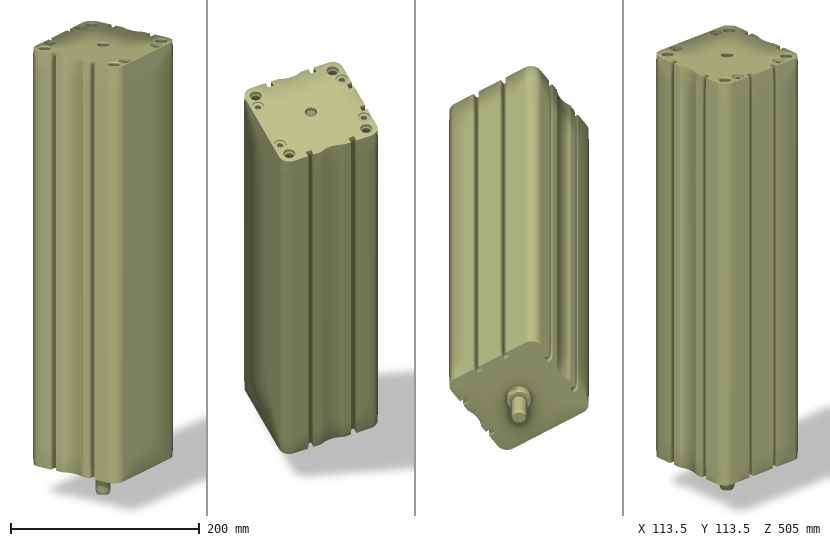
import cadquery as cq

SIDE = 113.5
HALF_SIDE = SIDE / 2
CORNER_RADIUS = 12.0
TOTAL_LENGTH = 505.0
ROD_PROTRUSION = 37.5
HOUSING_LENGTH = TOTAL_LENGTH - ROD_PROTRUSION
CAP_LENGTH = 20.0
CAP_TAPER = 1.2
BARREL_LENGTH = HOUSING_LENGTH - 2 * CAP_LENGTH

SLOT_MOUTH_WIDTH = 6.0
SLOT_INNER_WIDTH = 6.5
SLOT_LIP_DEPTH = 3.0
Y_SIDE_SLOT_DEPTH = 7.0
X_SIDE_SLOT_DEPTH = 6.5
Y_SIDE_SLOT_OFFSET = 24.5
X_SIDE_SLOT_OFFSET = 17.0

CHANNEL_WIDTH = 26.0
CHANNEL_DEPTH = 3.0

CENTRE_HOLE_DIAMETER = 12.5
CENTRE_HOLE_DEPTH = 4.5
CENTRE_HOLE_CHAMFER = 0.5

MOUNT_OFFSET = 44.5
MOUNT_MOUTH_DIAMETER = 13.5
MOUNT_RECESS_DIAMETER = 12.0
MOUNT_RECESS_DEPTH = 4.0
MOUNT_HOLE_DIAMETER = 8.5
MOUNT_THROAT_DIAMETER = 10.0
MOUNT_HOLE_DEPTH = 12.5

SCREW_X = 48.5
SCREW_Y = 29.5
SCREW_RECESS_DIAMETER = 13.0
SCREW_RECESS_DEPTH = 1.5
SOCKET_ACROSS_FLATS = 6.0
SOCKET_DEPTH = 4.0

ROD_DIAMETER = 26.0
ROD_EXPOSED_LENGTH = 9.0
ROD_CHAMFER_LENGTH = 1.5
ROD_CHAMFER_DEPTH = 0.5
FLATS_WIDTH = 22.5
FLATS_START = 1.5
NECK_DIAMETER = 14.0
NECK_LENGTH = 3.0
THREAD_DIAMETER = 16.0
THREAD_TIP_DIAMETER = 13.5
THREAD_TIP_LENGTH = 4.0


def corner_positions(x, y):
    return [(sx * x, sy * y) for sx in (-1, 1) for sy in (-1, 1)]


def radius_step(outer_diameter, inner_diameter):
    return (outer_diameter - inner_diameter) / 2


def slot_cutter(depth, length):
    """A sensor slot along Z, its mouth at Y = 0 and its depth towards -Y, with an undercut inner part."""
    mouth = cq.Workplane("XY").center(0, -depth / 2).rect(SLOT_MOUTH_WIDTH, depth).extrude(length)
    inner_depth = depth - SLOT_LIP_DEPTH
    inner = (
        cq.Workplane("XY").center(0, inner_depth / 2 - depth)
        .rect(SLOT_INNER_WIDTH, inner_depth).extrude(length)
    )
    return mouth.union(inner)


def profile_section(length, taper=0):
    """A length of the slotted housing profile, upwards from Z = 0, with its outside narrowed by `taper`."""
    channel_radius = (CHANNEL_WIDTH**2 / 4 + CHANNEL_DEPTH**2) / (2 * CHANNEL_DEPTH)
    channel_axis = HALF_SIDE - CHANNEL_DEPTH + channel_radius
    outline = (
        cq.Sketch().rect(SIDE, SIDE)
        .vertices().fillet(CORNER_RADIUS).reset()
        .push([(0, -channel_axis), (0, channel_axis)]).circle(channel_radius, mode="s")
    )
    section = cq.Workplane("XY").placeSketch(outline).extrude(length, taper=taper)

    y_side_slot = slot_cutter(Y_SIDE_SLOT_DEPTH, length).translate((0, HALF_SIDE, 0))
    x_side_slot = slot_cutter(X_SIDE_SLOT_DEPTH, length).translate((0, HALF_SIDE, 0))
    x_side_slot = x_side_slot.rotate((0, 0, 0), (0, 0, 1), 90)
    for sign in (-1, 1):
        plus_y_slot = y_side_slot.translate((sign * Y_SIDE_SLOT_OFFSET, 0, 0))
        section = section.cut(plus_y_slot).cut(plus_y_slot.mirror("XZ"))
        section = section.cut(x_side_slot.translate((0, sign * X_SIDE_SLOT_OFFSET, 0)))
    return section


def mount_hole(position):
    """A stepped hole with a chamfered mouth, sunk from the rear face."""
    top = HOUSING_LENGTH
    floor = top - MOUNT_RECESS_DEPTH
    throat = radius_step(MOUNT_THROAT_DIAMETER, MOUNT_HOLE_DIAMETER)
    mouth = radius_step(MOUNT_MOUTH_DIAMETER, MOUNT_RECESS_DIAMETER)
    half_profile = [
        (0, top),
        (MOUNT_MOUTH_DIAMETER / 2, top),
        (MOUNT_RECESS_DIAMETER / 2, top - mouth),
        (MOUNT_RECESS_DIAMETER / 2, floor),
        (MOUNT_THROAT_DIAMETER / 2, floor),
        (MOUNT_HOLE_DIAMETER / 2, floor - throat),
        (MOUNT_HOLE_DIAMETER / 2, top - MOUNT_HOLE_DEPTH),
        (0, top - MOUNT_HOLE_DEPTH),
    ]
    hole = cq.Workplane("XZ").polyline(half_profile).close().revolve(360, (0, 0), (0, 1))
    return hole.translate((*position, 0))


def make_rear_cap():
    cap = profile_section(CAP_LENGTH, CAP_TAPER)
    cap = cap.translate((0, 0, HOUSING_LENGTH - CAP_LENGTH))
    rear_face = cq.Workplane("XY").workplane(offset=HOUSING_LENGTH)

    cap = (
        cap.cut(rear_face.circle(CENTRE_HOLE_DIAMETER / 2).extrude(-CENTRE_HOLE_DEPTH))
        .faces(">Z").edges(cq.selectors.RadiusNthSelector(0)).chamfer(CENTRE_HOLE_CHAMFER)
    )
    for position in corner_positions(MOUNT_OFFSET, MOUNT_OFFSET):
        cap = cap.cut(mount_hole(position))

    screws = rear_face.pushPoints(corner_positions(SCREW_X, SCREW_Y))
    recesses = screws.circle(SCREW_RECESS_DIAMETER / 2).extrude(-SCREW_RECESS_DEPTH)
    socket = (
        cq.Workplane("XY").polygon(6, SOCKET_ACROSS_FLATS, circumscribed=True)
        .extrude(-SCREW_RECESS_DEPTH - SOCKET_DEPTH)
    )
    for x, y in corner_positions(SCREW_X, SCREW_Y):
        cap = cap.cut(socket.translate((x, y, HOUSING_LENGTH)))
    return cap.cut(recesses)


def make_front_cap():
    """The front cap, bored through for the rod."""
    bore = cq.Workplane("XY").circle(ROD_DIAMETER / 2).extrude(CAP_LENGTH)
    cap = profile_section(CAP_LENGTH, CAP_TAPER).mirror("XY").translate((0, 0, CAP_LENGTH))
    return cap.cut(bore)


def make_barrel():
    return profile_section(BARREL_LENGTH).translate((0, 0, CAP_LENGTH))


def make_rod():
    """The rod, from the barrel through the front cap to its threaded end."""
    shank = (
        cq.Workplane("XY").workplane(offset=-ROD_EXPOSED_LENGTH)
        .circle(ROD_DIAMETER / 2).extrude(ROD_EXPOSED_LENGTH + CAP_LENGTH)
        .faces("<Z").chamfer(ROD_CHAMFER_LENGTH, ROD_CHAMFER_DEPTH)
    )
    flat_depth = (ROD_DIAMETER - FLATS_WIDTH) / 2
    flat_centre = (FLATS_WIDTH + flat_depth) / 2
    flats = (
        cq.Workplane("XY").workplane(offset=-FLATS_START)
        .pushPoints([(-flat_centre, 0), (flat_centre, 0)])
        .rect(flat_depth, ROD_DIAMETER).extrude(FLATS_START - ROD_EXPOSED_LENGTH)
    )
    neck_end = -ROD_EXPOSED_LENGTH - NECK_LENGTH
    neck = (
        cq.Workplane("XY").workplane(offset=-ROD_EXPOSED_LENGTH)
        .circle(NECK_DIAMETER / 2).extrude(-NECK_LENGTH)
    )
    thread = (
        cq.Workplane("XY").workplane(offset=neck_end)
        .circle(THREAD_DIAMETER / 2).extrude(-ROD_PROTRUSION - neck_end)
        .faces("<Z").chamfer(THREAD_TIP_LENGTH, radius_step(THREAD_DIAMETER, THREAD_TIP_DIAMETER))
    )
    return shank.cut(flats).union(neck).union(thread)


barrel = make_barrel()
rear_cap = make_rear_cap()
front_cap = make_front_cap()
rod = make_rod()

result = cq.Compound.makeCompound([barrel.val(), rear_cap.val(), front_cap.val(), rod.val()])